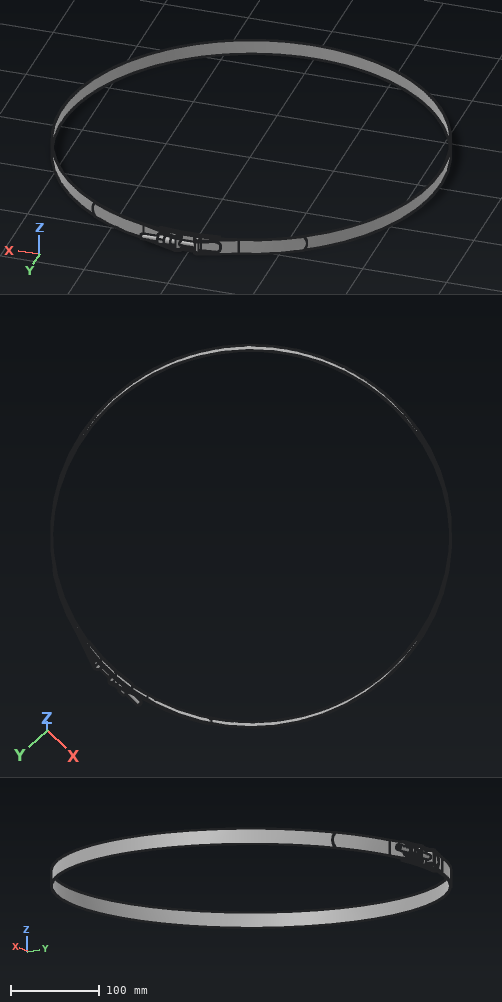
import cadquery as cq
import math


clamp_length = 463.0

band_diameter = 453.3
band_radius = band_diameter / 2
strip = 0.75
band_width = 18.0
band_inner = band_radius - strip
bend_angle = 14.5
tail_reach = 128.0
tail_rounding = 3.2
slot_half_width = 7.0
slot_end = 38.0

loop_x = 12.5
pin_radius = 4.4
pin_flat = 1.5
loop_radius = pin_radius + strip
loop_angle = math.degrees(math.asin(loop_x / (band_inner + loop_radius)))
bolt_y = loop_x / math.tan(math.radians(loop_angle))

bridge_inner = band_inner - strip
lip_radius = 228.0
bridge_width = 22.0
bridge_half_length = 35.5

shank_radius = 3.2
shank_end = 56.5
shank_chamfer = 1.5
bearing_radius = 8.5
neck_radius = 4.0
neck_end = 20.0
sleeve_diameter = 9.5
sleeve_end = 27.5
clamp_top = clamp_length - band_radius
nut_flats = 2 * (clamp_top - bolt_y)
nut_end = 35.0

tall = 926.0


def along(angle):
    """Unit vector in the XY plane, `angle` degrees from +Y towards -X."""
    a = math.radians(angle)
    return cq.Vector(-math.sin(a), math.cos(a), 0)


def flat(vector):
    """The X and Y of a vector, as a point of an XY profile."""
    return vector.x, vector.y


loop_centre = cq.Vector(-loop_x, bolt_y, 0)

bend_point = along(bend_angle) * (band_radius + strip)
to_loop = loop_centre - bend_point
leg_angle = math.degrees(
    math.atan2(to_loop.y, to_loop.x) + math.asin(loop_radius / to_loop.Length)
)


def extruded(profile, width):
    """Extrude an XY profile equally to both sides of the plane Z = 0."""
    return profile.extrude(width / 2, both=True)


def arc_strip(inner, outer, start, end, width):
    """Arc-shaped strip about the Z axis, between two angles from +Y."""
    first, middle, last = along(start), along((start + end) / 2), along(end)
    profile = (
        cq.Workplane("XY")
        .moveTo(*flat(first * inner))
        .threePointArc(flat(middle * inner), flat(last * inner))
        .lineTo(*flat(last * outer))
        .threePointArc(flat(middle * outer), flat(first * outer))
        .close()
    )
    return extruded(profile, width)


def leg_strip():
    """Straight strip from the bend up to the top of the loop."""
    across = along(leg_angle) * -strip
    loop_top = loop_centre + along(leg_angle) * loop_radius
    corners = [bend_point, loop_top, loop_top + across, bend_point + across]
    profile = cq.Workplane("XY").polyline([flat(corner) for corner in corners]).close()
    return extruded(profile, band_width)


def loop_strip():
    """Strip wrapped round the pin, from the leg round to the ring."""
    upper = along(leg_angle)
    lower = along(loop_angle) * -1
    side = (upper + lower).normalized() * -1
    profile = (
        cq.Workplane("XY")
        .moveTo(*flat(loop_centre + upper * pin_radius))
        .threePointArc(flat(loop_centre + side * pin_radius), flat(loop_centre + lower * pin_radius))
        .lineTo(*flat(loop_centre + lower * loop_radius))
        .threePointArc(flat(loop_centre + side * loop_radius), flat(loop_centre + upper * loop_radius))
        .close()
    )
    return extruded(profile, band_width)


def slot_tool():
    """Slot with one rounded end, running along X past the loop."""
    round_x = -slot_end + slot_half_width
    return (
        cq.Workplane("XZ")
        .moveTo(0, -slot_half_width)
        .lineTo(round_x, -slot_half_width)
        .threePointArc((-slot_end, 0), (round_x, slot_half_width))
        .lineTo(0, slot_half_width)
        .close()
        .extrude(-tall)
    )


def tail_strip():
    """Doubled strip lying outside the ring, from the bend to a rounded tip."""
    tail_outer = band_radius + strip
    tail_angle = math.degrees(math.asin(tail_reach / band_radius))
    tail = arc_strip(band_radius, tail_outer, bend_angle, tail_angle, band_width)
    corner_x = -tail_reach + tail_rounding
    half = band_width / 2
    outline = (
        cq.Workplane("XZ")
        .moveTo(0, -half)
        .lineTo(corner_x, -half)
        .threePointArc((-tail_reach, 0), (corner_x, half))
        .lineTo(0, half)
        .close()
        .extrude(-tall)
    )
    return tail.intersect(outline)


def band_end():
    """The -X end of the band: slotted loop and leg, and the tail."""
    return leg_strip().union(loop_strip()).cut(slot_tool()).union(tail_strip())


def make_band():
    ring = arc_strip(band_inner, band_radius, loop_angle, 360 - loop_angle, band_width)
    end = band_end()
    return ring.union(end).union(end.mirror("YZ"))


def make_bridge():
    """Curved channel: a thin web under the band, with a lip along each edge of the band."""
    end_angle = math.degrees(math.asin(bridge_half_length / lip_radius))
    block = arc_strip(bridge_inner, lip_radius, -end_angle, end_angle, bridge_width)
    channel = arc_strip(band_inner, lip_radius + strip, -2 * end_angle, 2 * end_angle, band_width)
    return block.cut(channel)


def rod(radius, start, end):
    """Round rod on the bolt axis."""
    return cq.Workplane("YZ", origin=(start, bolt_y, 0)).circle(radius).extrude(end - start)


def d_pin():
    """Pin along Z at the -X loop, with its flat on the -X side."""
    pin = extruded(cq.Workplane("XY", origin=loop_centre.toTuple()).circle(pin_radius), band_width)
    return pin.intersect(rod(tall, -loop_x - pin_flat, 0))


def make_t_bolt():
    shank = rod(shank_radius, -loop_x, shank_end).faces(">X").chamfer(shank_chamfer)
    return d_pin().union(shank)


def make_bearing_pin():
    """Drilled D-shaped pin in the +X loop, its ends rounded about the bolt axis."""
    pin = d_pin().mirror("YZ")
    return pin.intersect(rod(bearing_radius, 0, shank_end)).cut(rod(shank_radius, 0, shank_end))


def make_sleeve():
    """Flanged sleeve between the bearing pin and the nut."""
    neck = rod(neck_radius, loop_x + pin_flat, neck_end)
    flange = rod(sleeve_diameter / 2, neck_end, sleeve_end)
    return neck.union(flange).cut(rod(shank_radius, 0, shank_end))


def make_nut():
    """Hexagonal nut with corners pointing along Z."""
    across_corners = nut_flats / math.cos(math.radians(30))
    hexagon = (
        cq.Workplane("YZ", origin=(sleeve_end, bolt_y, 0))
        .transformed(rotate=(0, 0, 90))
        .polygon(6, across_corners)
        .extrude(nut_end - sleeve_end)
    )
    return hexagon.cut(rod(shank_radius, 0, shank_end))


band = make_band()
bridge = make_bridge()
t_bolt = make_t_bolt()
bearing_pin = make_bearing_pin()
sleeve = make_sleeve()
nut = make_nut()

result = cq.Compound.makeCompound(
    [band.val(), bridge.val(), t_bolt.val(), bearing_pin.val(), sleeve.val(), nut.val()]
)